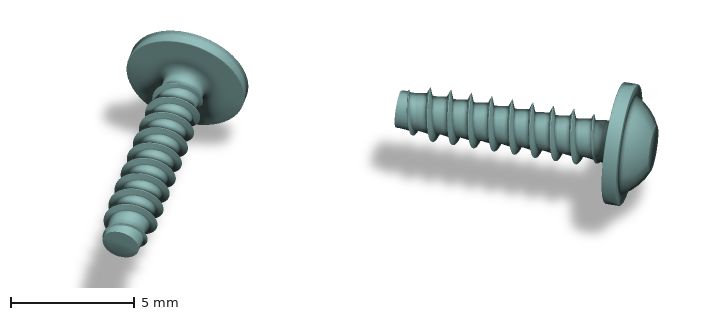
import cadquery as cq
import math

flange_radius = 2.5
flange_thickness = 0.6
flange_edge_fillet = 0.04
dome_height = 1.0
dome_base_radius = 2.02
dome_top_radius = 0.955

shank_length = 9.0
neck_radius = 0.86
neck_fillet = 0.34
neck_end_depth = 0.53
core_radius = 0.755
core_start_depth = 1.1
tip_cone_height = 0.03
spare_length = 1.0
untrimmed_length = shank_length + spare_length

pitch = 0.85
thread_start_depth = 0.4875
run_in_turns = 1.0
full_turns = 7.5
full_stretch_count = 3
run_out_turns = 1.5
crest_radius = 1.1
crest_start_radius = 0.92
crest_end_radius = 0.78
crest_half_width = 0.012

upper_foot = -0.155
lower_foot = 0.115
lower_foot_radius = 0.82
taper_end = 0.545
sunk_radius = 0.6
foot_embed = 0.01
envelope_radius = 1.5

shank_frame = cq.Plane(origin=(0, 0, 0), xDir=(0, 0, -1), normal=(0, -1, 0))


def make_head():
    """Flange and dome, turned about the Y axis."""
    flange = (
        cq.Workplane("XZ")
        .circle(flange_radius)
        .extrude(-flange_thickness)
        .edges()
        .fillet(flange_edge_fillet)
    )
    centre = (dome_top_radius**2 + dome_height**2 - dome_base_radius**2) / (2 * dome_height)
    dome_radius = math.hypot(dome_base_radius, centre)
    mid_height = dome_height / 2
    mid_radius = math.sqrt(dome_radius**2 - (mid_height - centre) ** 2)
    head_top = flange_thickness + dome_height
    dome = (
        cq.Workplane("XY")
        .moveTo(0, flange_thickness / 2)
        .lineTo(dome_base_radius, flange_thickness / 2)
        .lineTo(dome_base_radius, flange_thickness)
        .threePointArc((mid_radius, flange_thickness + mid_height), (dome_top_radius, head_top))
        .lineTo(0, head_top)
        .close()
        .revolve(360, (0, 0), (0, 1))
    )
    return flange.union(dome)


def make_core():
    """Filleted neck, cone and threaded core before it is trimmed to length."""
    neck_root_radius = neck_radius + neck_fillet
    arc_offset = neck_fillet * (1 - math.sqrt(0.5))
    return (
        cq.Workplane("XY")
        .moveTo(0, flange_thickness / 2)
        .lineTo(neck_root_radius, flange_thickness / 2)
        .lineTo(neck_root_radius, 0)
        .threePointArc((neck_radius + arc_offset, -arc_offset), (neck_radius, -neck_fillet))
        .lineTo(neck_radius, -neck_end_depth)
        .lineTo(core_radius, -core_start_depth)
        .lineTo(core_radius, -untrimmed_length)
        .lineTo(0, -untrimmed_length)
        .close()
        .revolve(360, (0, 0), (0, 1))
    )


def thread_section(crest):
    """Corners of the thread section, as (offset along the axis, radius), for a crest radius."""
    scale = (crest - core_radius) / (crest_radius - core_radius)
    taper_slope = (lower_foot_radius - core_radius) / (taper_end - lower_foot)
    sunk_taper_end = taper_end + foot_embed / taper_slope
    foot_radius = core_radius - foot_embed
    return [
        (upper_foot * scale, sunk_radius),
        (upper_foot * scale, foot_radius),
        (-crest_half_width * scale, crest),
        (crest_half_width * scale, crest),
        (lower_foot * scale, min(lower_foot_radius, crest)),
        (sunk_taper_end, foot_radius),
        (sunk_taper_end, sunk_radius),
    ]


def section_point(corner, turn):
    """Place a section corner on the thread, a number of turns after its start."""
    offset, radius = corner
    angle = 2 * math.pi * turn
    depth = thread_start_depth + pitch * turn + offset
    return cq.Vector(radius * math.cos(angle), radius * math.sin(angle), depth)


def helix_edge(start, end, first_turn, turns):
    """Helix from a section corner to its match some turns later; conical if the radius changes."""
    offset, start_radius = start
    end_offset, end_radius = end
    height = pitch * turns + end_offset - offset
    lead = height / turns
    rise = end_radius - start_radius
    if rise == 0:
        helix = cq.Wire.makeHelix(lead, height, start_radius)
    else:
        cone_angle = math.atan2(rise, height)
        slant = 1 / math.cos(cone_angle)
        helix = cq.Wire.makeHelix(
            lead * slant, height * slant, start_radius, angle=math.degrees(cone_angle)
        )
    start_depth = thread_start_depth + pitch * first_turn + offset
    axis_start = cq.Vector(0, 0, 0)
    axis_end = cq.Vector(0, 0, 1)
    turned = helix.rotate(axis_start, axis_end, 360 * first_turn)
    return turned.translate(cq.Vector(0, 0, start_depth)).Edges()[0]


def section_face(section, turn):
    """Flat end face of the thread."""
    points = [section_point(corner, turn) for corner in section]
    return cq.Face.makeFromWires(cq.Wire.makePolygon(points, close=True))


def make_thread():
    """Thread solid: ruled helical faces stretch by stretch, closed by two end faces."""
    full_stretch = (crest_radius, crest_radius, full_turns / full_stretch_count)
    stretches = [
        (crest_start_radius, crest_radius, run_in_turns),
        *[full_stretch] * full_stretch_count,
        (crest_radius, crest_end_radius, run_out_turns),
    ]
    faces = [section_face(thread_section(crest_start_radius), 0)]
    turn = 0
    for start_crest, end_crest, turns in stretches:
        corners = zip(thread_section(start_crest), thread_section(end_crest))
        edges = [helix_edge(start, end, turn, turns) for start, end in corners]
        for edge, next_edge in zip(edges, edges[1:] + edges[:1]):
            faces.append(cq.Face.makeRuledSurface(edge, next_edge))
        turn += turns
    faces.append(section_face(thread_section(crest_end_radius), turn))
    thread = cq.Solid.makeSolid(cq.Shell.makeShell(faces)).fix()
    return cq.Workplane("XY").newObject([thread.moved(cq.Location(shank_frame))])


def make_tip_envelope():
    """Wide cylinder with the slightly pointed end of the shank, which trims it to length."""
    rim_depth = shank_length - tip_cone_height * envelope_radius / core_radius
    return (
        cq.Workplane("XY")
        .moveTo(0, flange_thickness)
        .lineTo(envelope_radius, flange_thickness)
        .lineTo(envelope_radius, -rim_depth)
        .lineTo(0, -shank_length)
        .close()
        .revolve(360, (0, 0), (0, 1))
    )


threaded_shank = make_core().union(make_thread(), clean=False)
trimmed_shank = threaded_shank.intersect(make_tip_envelope(), clean=False)
result = make_head().union(trimmed_shank, clean=False)